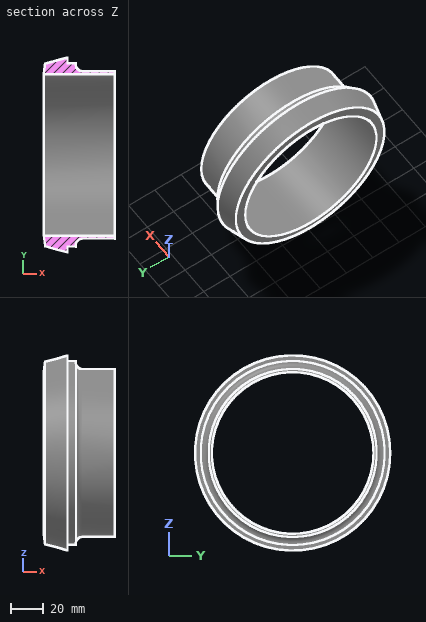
import cadquery as cq

total_length = 44.0
cone_start = 0.7
cone_end = 14.8
collar_end = 20.0
fillet_radius = 4.0

flange_radius = 121 / 2
cone_start_radius = 113.3 / 2
collar_radius = 114.0 / 2
tube_radius = 104 / 2
bore_radius = 100.0 / 2

rim_width = 0.5
rim_radius = bore_radius + rim_width

fillet_end = collar_end + fillet_radius
fillet_center_radius = tube_radius + fillet_radius
arc_offset = fillet_radius * 0.5 ** 0.5
fillet_middle = (fillet_end - arc_offset, fillet_center_radius - arc_offset)

section = (
    cq.Workplane("XY")
    .moveTo(0, bore_radius)
    .lineTo(0, rim_radius)
    .lineTo(cone_start, cone_start_radius)
    .lineTo(cone_end, flange_radius)
    .lineTo(cone_end, collar_radius)
    .lineTo(collar_end, collar_radius)
    .lineTo(collar_end, fillet_center_radius)
    .threePointArc(fillet_middle, (fillet_end, tube_radius))
    .lineTo(total_length, tube_radius)
    .lineTo(total_length, bore_radius)
    .close()
)

result = section.revolve(360, (0, 0, 0), (1, 0, 0))